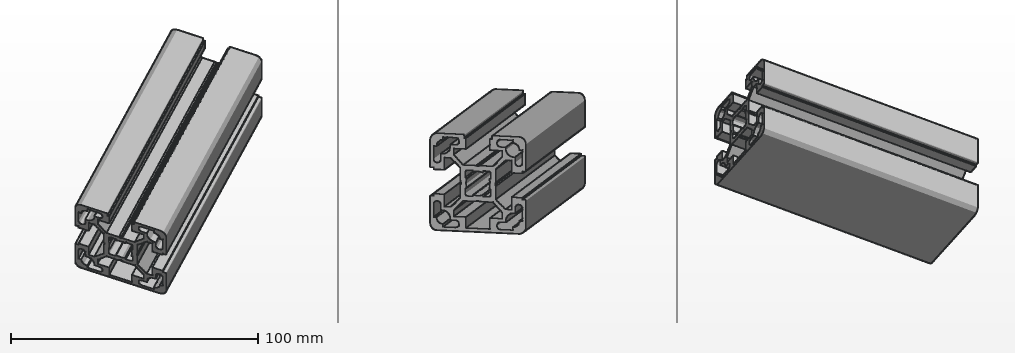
import cadquery as cq
import math

LENGTH = 100.0
SIDE = 40.0
HALF = SIDE / 2
CORNER_RADIUS = 3.0

SKIN = 1.5
MOUTH_HALF = 5.0
RELIEF_HALF = 5.8
RELIEF_ROUND = 0.4
LIP_DEPTH = 6.0
SLOT_HALF = 10.1
SHOULDER_DEPTH = 8.5
CORE_HALF = 7.4
FLOOR_HALF = 6.2
NOTCH_HALF = 0.75
NOTCH_DEPTH = 0.3

BORE_HALF = 5.3
BORE_ROUND = 1.0
SCREW_RADIUS = 5.0
RIDGE_TIP = 1.9
RIDGE_BASE = 2.3

POCKET_WIDTH = 3.0
POCKET_START = 5.4
POCKET_END = 12.1
CHANNEL_OUTER = 2.7
CHANNEL_OUTER_RADIUS = 2.8
CHANNEL_INNER = 8.4
CHANNEL_FLAT_END = 5.6
CHANNEL_INNER_RADIUS = 3.5


def prism(profile):
    """Extrude a closed XZ profile over the full bar length, centred on Y."""
    return profile.extrude(LENGTH / 2, both=True)


def section():
    return cq.Workplane("XZ")


def turned(solid, quarter):
    """Turn a solid about the bar axis by a number of quarter turns."""
    return solid.rotate((0, 0, 0), (0, 1, 0), 90 * quarter)


def slot_chamber():
    """Space behind the lips of the top slot, down to the core."""
    right = [
        (NOTCH_HALF, CORE_HALF),
        (FLOOR_HALF, CORE_HALF),
        (SLOT_HALF, HALF - SHOULDER_DEPTH),
        (SLOT_HALF, HALF - LIP_DEPTH),
    ]
    left = [(-x, z) for x, z in reversed(right)]
    notch = (0, CORE_HALF - NOTCH_DEPTH)
    return prism(section().polyline(right + left + [notch]).close())


def slot_mouth():
    """Neck between the lips of the top slot, up to the skin."""
    bottom = HALF - LIP_DEPTH
    top = HALF - SKIN
    return prism(section().center(0, (bottom + top) / 2).rect(2 * MOUTH_HALF, top - bottom))


def mouth_relief():
    """Opening of the top slot through the skin, with rounded outer edges."""
    flare = RELIEF_HALF + RELIEF_ROUND
    knee = HALF - RELIEF_ROUND
    return prism(
        section()
        .moveTo(-RELIEF_HALF, HALF - SKIN)
        .lineTo(RELIEF_HALF, HALF - SKIN)
        .lineTo(RELIEF_HALF, knee)
        .radiusArc((flare, HALF), RELIEF_ROUND)
        .lineTo(-flare, HALF)
        .radiusArc((-RELIEF_HALF, knee), RELIEF_ROUND)
        .close()
    )


def core_bore():
    """Square bore with a pair of screw-thread ridges on each wall."""
    bore = prism(section().rect(2 * BORE_HALF, 2 * BORE_HALF)).edges("|Y").fillet(BORE_ROUND)
    tip_height = math.sqrt(SCREW_RADIUS**2 - RIDGE_TIP**2)
    ridges = prism(
        section()
        .moveTo(-RIDGE_BASE, BORE_HALF)
        .lineTo(-RIDGE_TIP, tip_height)
        .threePointArc((0, SCREW_RADIUS), (RIDGE_TIP, tip_height))
        .lineTo(RIDGE_BASE, BORE_HALF)
        .close()
    )
    for quarter in range(4):
        bore = bore.cut(turned(ridges, quarter))
    return bore


def corner_cavity():
    """Cavity in the top right corner: round channel plus a slot along each outer face."""
    end_radius = POCKET_WIDTH / 2
    middle = HALF - SKIN - end_radius
    start = HALF - POCKET_START
    end = HALF - POCKET_END + end_radius
    along_top = prism(
        section()
        .moveTo(start, middle + end_radius)
        .lineTo(end, middle + end_radius)
        .threePointArc((end - end_radius, middle), (end, middle - end_radius))
        .lineTo(start, middle - end_radius)
        .close()
    )
    along_side = along_top.mirror("XY").rotate((0, 0, 0), (0, 1, 0), -90)
    outer = HALF - CHANNEL_OUTER
    inner = HALF - CHANNEL_INNER
    flat_end = HALF - CHANNEL_FLAT_END
    channel = prism(
        section()
        .moveTo(start, outer)
        .radiusArc((outer, start), CHANNEL_OUTER_RADIUS)
        .lineTo(middle, inner)
        .lineTo(flat_end, inner)
        .radiusArc((inner, flat_end), CHANNEL_INNER_RADIUS)
        .lineTo(inner, middle)
        .close()
    )
    return channel.union(along_top).union(along_side)


bar = prism(section().rect(SIDE, SIDE)).edges("|Y").fillet(CORNER_RADIUS)
bar = bar.cut(core_bore())

cavity = corner_cavity()
chamber = slot_chamber()
mouth = slot_mouth()
for quarter in range(4):
    bar = bar.cut(turned(cavity, quarter))
    bar = bar.cut(turned(chamber, quarter))
    bar = bar.cut(turned(mouth, quarter))

relief = mouth_relief()
for quarter in (0, 1, 3):
    bar = bar.cut(turned(relief, quarter))

result = bar